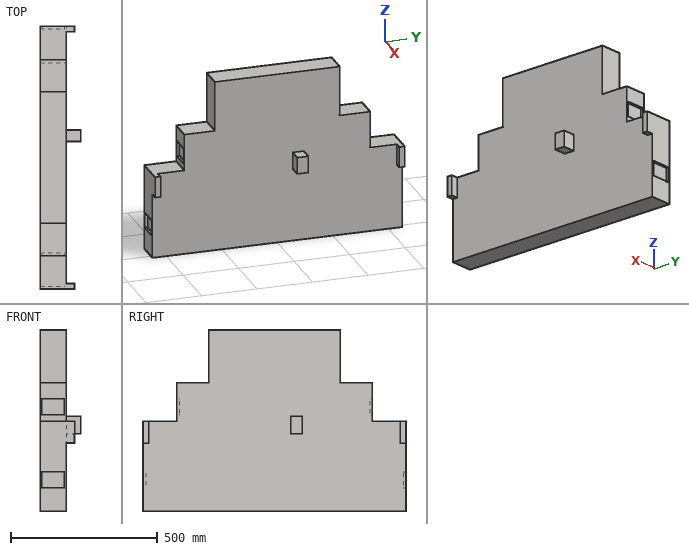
import cadquery as cq

plate_thickness = 90
tiers = [
    (900, 308),
    (670, 440),
    (450, 620),
]
base_length, base_height = tiers[0]
middle_length = tiers[1][0]

hook_reach = 28
hook_thickness = 20
hook_height = 75

lug_reach = 50
lug_width = 40
lug_height = 60
lug_center_y = 75
lug_bottom_z = 265

recess_width = 77
recess_height = 55
recess_depth = 10
recess_offset_x = (plate_thickness - recess_width) / 2
base_recess_bottom_z = 80
middle_recess_bottom_z = 330


def block(x_start, y_center, z_start, size_x, size_y, size_z):
    """Box that is centred along Y and starts at the given X and Z."""
    box = cq.Workplane("XY").box(size_x, size_y, size_z, centered=(False, True, False))
    return box.translate((x_start, y_center, z_start))


def stepped_plate():
    """Full-height tiers of decreasing length, joined into one stepped plate."""
    plate = cq.Workplane("XY")
    for length, height in tiers:
        plate = plate.union(block(0, 0, 0, plate_thickness, length, height))
    return plate


def hook(end):
    """Hook at one end of the lowest tier; end is -1 or +1 along Y."""
    center_y = end * (base_length - hook_thickness) / 2
    bottom_z = base_height - hook_height
    return block(0, center_y, bottom_z, plate_thickness + hook_reach, hook_thickness, hook_height)


def lug():
    """Lug on the +X face, rooted through the plate."""
    return block(0, lug_center_y, lug_bottom_z, plate_thickness + lug_reach, lug_width, lug_height)


def recess(end, tier_length, bottom_z):
    """Pocket cut into the end face of a tier; end is -1 or +1 along Y."""
    center_y = end * (tier_length - recess_depth) / 2
    return block(recess_offset_x, center_y, bottom_z, recess_width, recess_depth, recess_height)


result = stepped_plate().union(lug())
for end in (-1, 1):
    result = result.union(hook(end))
    result = result.cut(recess(end, base_length, base_recess_bottom_z))
    result = result.cut(recess(end, middle_length, middle_recess_bottom_z))
result = result.clean()